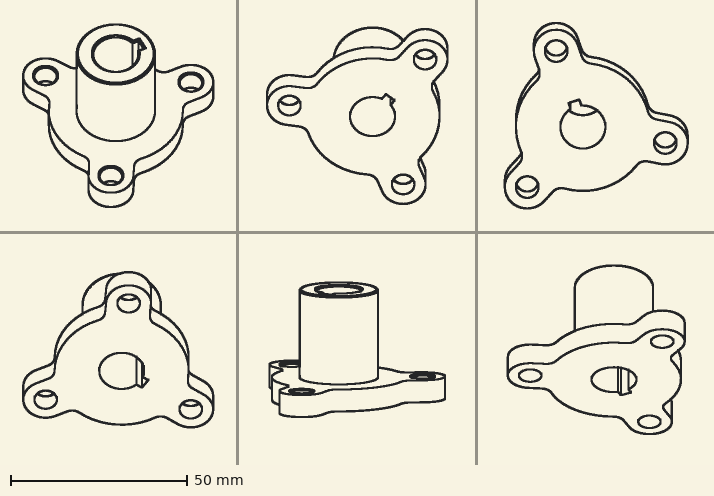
import cadquery as cq
import math

overall_width = 54.0
flange_thickness = 6.35
disc_radius = 19.0
lug_count = 3
lug_radius = 6.35
lug_fillet = 3.2
bolt_circle_radius = (overall_width / 2 - lug_radius) / math.cos(math.radians(30))

lug_hole_radius = 3.2
lug_hole_chamfer = 0.4

overall_height = 31.75
hub_radius = 11.1
hub_chamfer = 0.4
bore_radius = 6.35
keyway_width = 3.2
keyway_reach = 8.05
bore_chamfer = 0.45


def make_lug(angle):
    """Round-ended arm from the flange axis, turned from the +Y direction."""
    arm = (
        cq.Workplane("XY")
        .rect(2 * lug_radius, bolt_circle_radius)
        .extrude(flange_thickness)
        .translate((0, bolt_circle_radius / 2, 0))
    )
    tip = (
        cq.Workplane("XY")
        .center(0, bolt_circle_radius)
        .circle(lug_radius)
        .extrude(flange_thickness)
    )
    return arm.union(tip).rotate((0, 0, 0), (0, 0, 1), angle)


def make_flange():
    """Disc with equally spaced lugs, blended in the inside corners."""
    disc = cq.Workplane("XY").circle(disc_radius).extrude(flange_thickness)
    for index in range(lug_count):
        disc = disc.union(make_lug(index * 360 / lug_count))

    corner_y = math.sqrt(disc_radius**2 - lug_radius**2)
    for index in range(lug_count):
        angle = math.radians(index * 360 / lug_count)
        for corner_x in (-lug_radius, lug_radius):
            corner = (
                corner_x * math.cos(angle) - corner_y * math.sin(angle),
                corner_x * math.sin(angle) + corner_y * math.cos(angle),
                flange_thickness / 2,
            )
            edge = cq.selectors.NearestToPointSelector(corner)
            disc = disc.edges("|Z").edges(edge).fillet(lug_fillet)
    return disc


def make_lug_holes():
    """Through holes with a chamfered upper rim."""
    rim_radius = lug_hole_radius + lug_hole_chamfer
    profile = [
        (0, 0),
        (lug_hole_radius, 0),
        (lug_hole_radius, flange_thickness - lug_hole_chamfer),
        (rim_radius, flange_thickness),
        (0, flange_thickness),
    ]
    hole = cq.Workplane("XZ").polyline(profile).close().revolve(360, (0, 0), (0, 1))
    hole = hole.translate((0, bolt_circle_radius, 0))
    holes = hole
    for index in range(1, lug_count):
        holes = holes.union(hole.rotate((0, 0, 0), (0, 0, 1), index * 360 / lug_count))
    return holes


def make_hub():
    """Plain cylinder with a chamfered top rim."""
    hub = cq.Workplane("XY").circle(hub_radius).extrude(overall_height)
    return hub.faces(">Z").edges().chamfer(hub_chamfer)


def make_keyed_bore():
    """Full-height bore with a keyway on the +Y side."""
    bore = cq.Workplane("XY").circle(bore_radius).extrude(overall_height)
    keyway = (
        cq.Workplane("XY")
        .center(0, keyway_reach / 2)
        .rect(keyway_width, keyway_reach)
        .extrude(overall_height)
    )
    return bore.union(keyway)


body = make_flange().union(make_hub()).cut(make_lug_holes()).cut(make_keyed_bore())

bore_rim = body.faces(">Z").val().innerWires()[0].Edges()
result = body.newObject(bore_rim).chamfer(bore_chamfer)